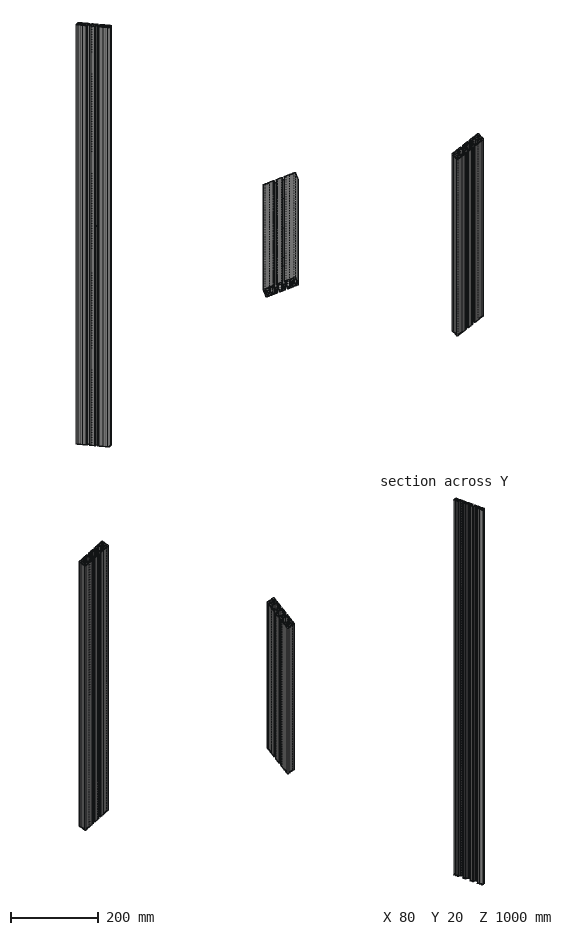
import cadquery as cq

CELL = 20.0
CELL_COUNT = 4
LENGTH = 1000.0
BAR_WIDTH = CELL * CELL_COUNT
HALF = CELL / 2
CORNER_RADIUS = 2.0

LIP = 2.0
MOUTH_WIDTH = 5.0
CHANNEL_WIDTH = 11.0
CHANNEL_SIDE_DEPTH = 3.0
SLOT_DEPTH = 6.0
FLOOR_WIDTH = CHANNEL_WIDTH - 2 * (SLOT_DEPTH - CHANNEL_SIDE_DEPTH)
FLOOR_RADIUS = 2.5

GROOVE_WIDTH = 6.4
GROOVE_DEPTH = 0.51

BORE_DIAMETER = 4.3

CHAMBER_HEIGHT = 14.0
CHAMBER_TOP_WIDTH = 3.0
CHAMBER_WIDTH = 12.0
CHAMBER_SIDE_HEIGHT = CHAMBER_HEIGHT - (CHAMBER_WIDTH - CHAMBER_TOP_WIDTH)


def prism(right_half):
    """Extrude a right-hand half outline joined to its reflection in the Y axis."""
    left_half = [(-x, y) for x, y in reversed(right_half)]
    return cq.Workplane("XY").polyline(right_half + left_half).close().extrude(LENGTH)


def channel():
    """Undercut channel behind the -Y face, with rounded corners along its floor."""
    floor = -HALF + SLOT_DEPTH
    body = prism([
        (CHANNEL_WIDTH / 2, -HALF + LIP),
        (CHANNEL_WIDTH / 2, -HALF + CHANNEL_SIDE_DEPTH),
        (FLOOR_WIDTH / 2, floor),
    ])
    return body.faces(">Y").edges("|Z").fillet(FLOOR_RADIUS)


def mouth():
    """Opening that leads from the -Y face into the channel."""
    return prism([(MOUTH_WIDTH / 2, -HALF), (MOUTH_WIDTH / 2, -HALF + CHANNEL_SIDE_DEPTH)])


def groove():
    """Shallow arc groove in the -Y face."""
    return (
        cq.Workplane("XY")
        .moveTo(-GROOVE_WIDTH / 2, -HALF)
        .threePointArc((0, -HALF + GROOVE_DEPTH), (GROOVE_WIDTH / 2, -HALF))
        .close()
        .extrude(LENGTH)
    )


def chamber():
    """Hollow octagonal chamber centred on the origin."""
    return prism([
        (CHAMBER_TOP_WIDTH / 2, -CHAMBER_HEIGHT / 2),
        (CHAMBER_WIDTH / 2, -CHAMBER_SIDE_HEIGHT / 2),
        (CHAMBER_WIDTH / 2, CHAMBER_SIDE_HEIGHT / 2),
        (CHAMBER_TOP_WIDTH / 2, CHAMBER_HEIGHT / 2),
    ])


def bore():
    return cq.Workplane("XY").circle(BORE_DIAMETER / 2).extrude(LENGTH)


def cut_slot(bar, cell_x, angle, face_cut):
    """Cut a channel and its face feature, turned about the axis of the cell at cell_x."""
    for cutter in (channel(), face_cut):
        turned = cutter.rotate((0, 0, 0), (0, 0, 1), angle)
        bar = bar.cut(turned.translate((cell_x, 0, 0)))
    return bar


cell_centres = [CELL * (i - (CELL_COUNT - 1) / 2) for i in range(CELL_COUNT)]
left_end, *inner_cells, right_end = cell_centres
joints = [x + HALF for x in cell_centres[:-1]]

result = cq.Workplane("XY").rect(BAR_WIDTH, CELL).extrude(LENGTH)
result = result.edges("|Z").fillet(CORNER_RADIUS)

for x in inner_cells:
    for angle in (0, 180):
        result = cut_slot(result, x, angle, mouth())

for x, side_angle in ((left_end, -90), (right_end, 90)):
    for angle in (0, 180, side_angle):
        result = cut_slot(result, x, angle, groove())

for x in cell_centres:
    result = result.cut(bore().translate((x, 0, 0)))

for x in joints:
    result = result.cut(chamber().translate((x, 0, 0)))